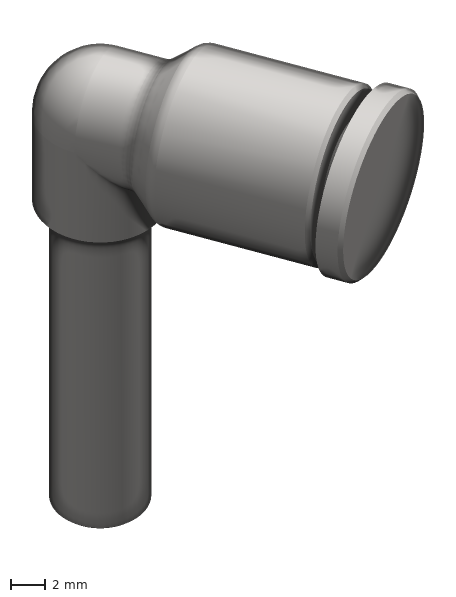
import cadquery as cq
import math


elbow_radius = 4.0
collar_bottom = -6.65
stem_radius = 3.0
stem_bottom = -29.6
stem_chamfer = 0.2

body_radius = 5.6
body_end = 15.5
body_chamfer = 0.25
cone_start = 3.45
cone_angle = 40.0
cone_blend_radius = 1.0
cone_end = cone_start + (body_radius - elbow_radius) / math.tan(math.radians(cone_angle))

neck_radius = 3.75
button_start = 16.3
button_end = 17.95
button_half_width = 6.5
button_half_height = 5.5
button_chamfer = 0.25


def make_elbow():
    """Collar around the stem, closed above by the ball-shaped corner of the elbow."""
    collar = cq.Workplane("XY").circle(elbow_radius).extrude(collar_bottom)
    ball = cq.Workplane("XY").sphere(elbow_radius)
    return collar.union(ball)


def make_stem():
    """Round stem below the collar, running up inside the collar and chamfered at its free end."""
    stem = (
        cq.Workplane("XY")
        .workplane(offset=stem_bottom)
        .circle(stem_radius)
        .extrude(-stem_bottom)
    )
    return stem.faces("<Z").chamfer(stem_chamfer)


def make_socket():
    """Socket turned about X: elbow branch, blended cone and body."""
    cone_angle_rad = math.radians(cone_angle)
    tangent_length = cone_blend_radius * math.tan(cone_angle_rad / 2)
    axial_step = tangent_length * math.cos(cone_angle_rad)
    radial_step = tangent_length * math.sin(cone_angle_rad)
    arc_mid_axial = cone_blend_radius * math.sin(cone_angle_rad / 2)
    arc_mid_radial = cone_blend_radius * (1 - math.cos(cone_angle_rad / 2))
    inner_blend_start = cone_start - tangent_length
    outer_blend_end = cone_end + tangent_length

    profile = (
        cq.Workplane("XY")
        .lineTo(0, elbow_radius)
        .lineTo(inner_blend_start, elbow_radius)
        .threePointArc(
            (inner_blend_start + arc_mid_axial, elbow_radius + arc_mid_radial),
            (cone_start + axial_step, elbow_radius + radial_step),
        )
        .lineTo(cone_end - axial_step, body_radius - radial_step)
        .threePointArc(
            (outer_blend_end - arc_mid_axial, body_radius - arc_mid_radial),
            (outer_blend_end, body_radius),
        )
        .lineTo(body_end - body_chamfer, body_radius)
        .lineTo(body_end, body_radius - body_chamfer)
        .lineTo(body_end, 0)
        .close()
    )
    return profile.revolve(axisStart=(0, 0, 0), axisEnd=(1, 0, 0))


def make_button():
    """Round neck carrying an oval flange, chamfered on its outer face."""
    neck = (
        cq.Workplane("YZ")
        .workplane(offset=body_end)
        .circle(neck_radius)
        .extrude(button_start - body_end)
    )
    flange = (
        cq.Workplane("YZ")
        .workplane(offset=button_start)
        .ellipse(button_half_width, button_half_height)
        .extrude(button_end - button_start)
        .faces(">X")
        .chamfer(button_chamfer)
    )
    return neck.union(flange)


result = make_elbow().union(make_socket()).union(make_stem()).union(make_button())